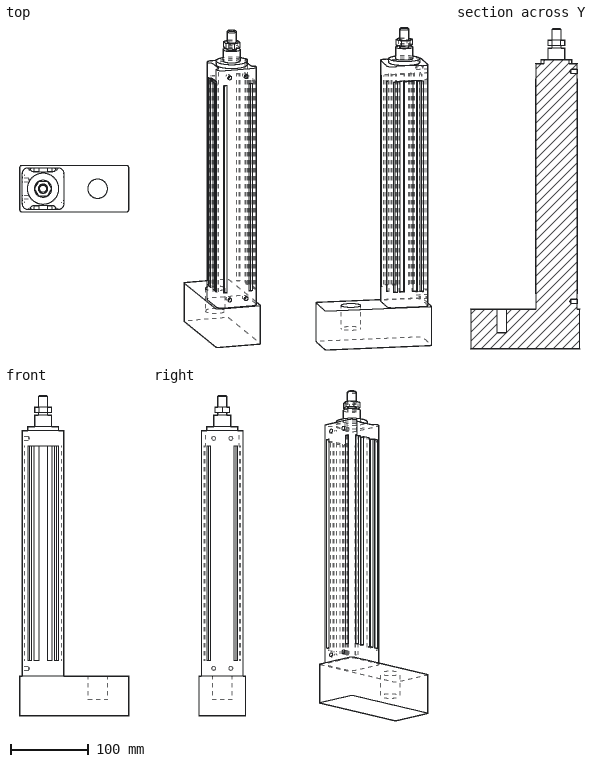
import cadquery as cq
import math


housing_length = 140.0
housing_width = 60.0
housing_height = 51.0
housing_edge_radius = 3.0
motor_bore_diameter = 25.0
motor_bore_depth = 30.0
motor_bore_x = 70.0

column_width = 53.5
column_height = 315.0
column_corner_radius = 7.5
half_column = column_width / 2
column_top = housing_height + column_height
end_zone = 20.0
groove_bottom = housing_height + end_zone
groove_top = column_top - end_zone
groove_length = groove_top - groove_bottom

recess_depth = 5.0
recess_floor_half_width = 12.2
recess_floor_radius = 4.0
recess_lip_radius = 1.6
recess_wall_angle = math.radians(65)

sensor_slot_width = 6.0
sensor_slot_depth = 4.5
sensor_slot_offset = 8.5

v_groove_inner_edge = 14.9
v_groove_apex = 17.5
v_groove_outer_edge = 19.6
v_groove_depth = 3.2

screw_hole_radius = 2.5
screw_hole_depth = 8.0
screw_hole_tip = 1.5
screw_hole_offset = 11.0
screw_hole_end_distance = 10.0

flange_diameter = 40.0
flange_height = 5.0
boss_diameter = 22.0
boss_height = 15.0
rod_diameter = 12.0
rod_chamfer = 1.5
nut_gap = 3.0
nut_across_flats = 19.0
nut_across_corners = nut_across_flats / math.cos(math.radians(30))
nut_height = 7.0
rod_above_nut = 15.0
rod_height = nut_gap + nut_height + rod_above_nut


def make_housing():
    housing = (
        cq.Workplane("XY")
        .box(housing_length, housing_width, housing_height, centered=(False, True, False))
        .translate((-housing_width / 2, 0, 0))
        .edges("|Z")
        .fillet(housing_edge_radius)
    )
    bore = (
        cq.Workplane("XY", origin=(motor_bore_x, 0, housing_height - motor_bore_depth))
        .circle(motor_bore_diameter / 2)
        .extrude(motor_bore_depth)
    )
    return housing.cut(bore)


def make_head_recess():
    """Cutter for the front recess: flat floor, S-curved sides, open at the top."""
    face_y = -half_column
    floor_y = face_y + recess_depth
    wall_run = math.sin(recess_wall_angle)
    arc_rise = 1 - math.cos(recess_wall_angle)
    wall_inner_x = recess_floor_half_width + recess_floor_radius * wall_run
    wall_inner_y = floor_y - recess_floor_radius * arc_rise
    wall_outer_y = face_y + recess_lip_radius * arc_rise
    wall_outer_x = wall_inner_x + (wall_inner_y - wall_outer_y) / math.tan(recess_wall_angle)
    mouth_x = wall_outer_x + recess_lip_radius * wall_run
    half = (
        cq.Workplane("XY", origin=(0, 0, groove_top))
        .moveTo(0, floor_y)
        .lineTo(recess_floor_half_width, floor_y)
        .tangentArcPoint((wall_inner_x, wall_inner_y), relative=False)
        .lineTo(wall_outer_x, wall_outer_y)
        .tangentArcPoint((mouth_x, face_y), relative=False)
        .lineTo(0, face_y)
        .close()
        .extrude(end_zone)
    )
    return half.union(half.mirror("YZ"))


def make_sensor_slots():
    """Cutter for the two slots in the front face."""
    slot_y = sensor_slot_depth / 2 - half_column
    return (
        cq.Workplane("XY", origin=(0, slot_y, groove_bottom))
        .pushPoints([(-sensor_slot_offset, 0), (sensor_slot_offset, 0)])
        .rect(sensor_slot_width, sensor_slot_depth)
        .extrude(groove_length)
    )


def make_v_grooves():
    """Cutter for the two V-grooves in the front face."""
    groove = (
        cq.Workplane("XY", origin=(0, -half_column, groove_bottom))
        .polyline([(v_groove_inner_edge, 0), (v_groove_outer_edge, 0), (v_groove_apex, v_groove_depth)])
        .close()
        .extrude(groove_length)
    )
    return groove.add(groove.mirror("YZ")).combine()


def add_screw_holes(column):
    low_z = housing_height + screw_hole_end_distance
    high_z = column_top - screw_hole_end_distance
    places = [(y, z) for y in (-screw_hole_offset, screw_hole_offset) for z in (low_z, high_z)]
    hole_profile = [
        (0, 0),
        (screw_hole_radius, 0),
        (screw_hole_radius, screw_hole_depth),
        (0, screw_hole_depth + screw_hole_tip),
    ]
    hole = cq.Workplane("XY").polyline(hole_profile).close().revolve(360, (0, 0, 0), (0, 1, 0))
    hole_along_x = hole.rotate((0, 0, 0), (0, 0, 1), -90).translate((-half_column, 0, 0))
    for y, z in places:
        column = column.cut(hole_along_x.translate((0, y, z)))
    return column


def turned_about_column(cutter, angle):
    return cutter.rotate((0, 0, 0), (0, 0, 1), angle)


def make_column():
    column = (
        cq.Workplane("XY", origin=(0, 0, housing_height))
        .rect(column_width, column_width)
        .extrude(column_height)
        .edges("|Z")
        .fillet(column_corner_radius)
    )
    for angle in (0, 90, 180, 270):
        column = column.cut(turned_about_column(make_v_grooves(), angle))
    for angle in (0, 180):
        column = column.cut(turned_about_column(make_sensor_slots(), angle))
        column = column.cut(turned_about_column(make_head_recess(), angle))
    return add_screw_holes(column)


def make_rod_end():
    boss_bottom = column_top + flange_height
    rod_bottom = boss_bottom + boss_height
    flange = cq.Workplane("XY", origin=(0, 0, column_top)).circle(flange_diameter / 2).extrude(flange_height)
    boss = cq.Workplane("XY", origin=(0, 0, boss_bottom)).circle(boss_diameter / 2).extrude(boss_height)
    rod = (
        cq.Workplane("XY", origin=(0, 0, rod_bottom))
        .circle(rod_diameter / 2)
        .extrude(rod_height)
        .faces(">Z")
        .chamfer(rod_chamfer)
    )
    nut = (
        cq.Workplane("XY", origin=(0, 0, rod_bottom + nut_gap))
        .polygon(6, nut_across_corners)
        .extrude(nut_height)
    )
    return flange.union(boss).union(rod).union(nut)


result = make_housing().union(make_column()).union(make_rod_end())